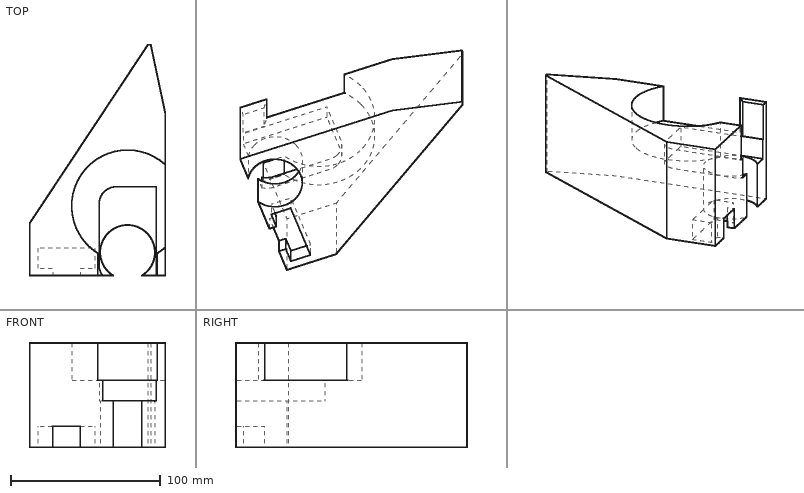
import cadquery as cq

body_width = 91.1
body_length = 155.0
body_height = 70.0
left_side_length = 35.2
right_side_length = 108.8
tip_left = 79.4
tip_right = 81.4

bore_x = 65.7
bore_y = 15.7
bore_radius = 18.3

recess_radius = 37.5
recess_y = 46.8
recess_floor = 45.1
recess_slot_width = 39.7

pocket_left = 46.7
pocket_right = 85.1
pocket_back = 59.7
pocket_depth = 14.0
pocket_corner_radius = 11.5
pocket_front_corner_y = 7.0

t_slot_x = 24.6
t_slot_height = 14.3
t_mouth_width = 18.5
t_lip_thickness = 5.0

pocket_floor = recess_floor - pocket_depth
pocket_width = pocket_right - pocket_left
pocket_front = pocket_front_corner_y - pocket_corner_radius
t_head_width = pocket_width
t_head_depth = pocket_depth


def box_cut(center_x, width, y_start, y_end, z_start, z_end):
    """Box centred on center_x, spanning the given Y and Z ranges."""
    return (
        cq.Workplane("XY")
        .box(width, y_end - y_start, z_end - z_start, centered=(True, False, False))
        .translate((center_x, y_start, z_start))
    )


def cylinder_cut(center_y, radius, z_start):
    """Cylinder on the bore's X position, from z_start to the top of the body."""
    return (
        cq.Workplane("XY", origin=(bore_x, center_y, z_start))
        .circle(radius)
        .extrude(body_height - z_start)
    )


def make_body():
    outline = [
        (0, 0),
        (body_width, 0),
        (body_width, right_side_length),
        (tip_right, body_length),
        (tip_left, body_length),
        (0, left_side_length),
    ]
    return cq.Workplane("XY").polyline(outline).close().extrude(body_height)


def make_recess():
    round_part = cylinder_cut(recess_y, recess_radius, recess_floor)
    slot = box_cut(bore_x, recess_slot_width, 0, recess_y, recess_floor, body_height)
    return round_part.union(slot)


def make_pocket():
    center_x = (pocket_left + pocket_right) / 2
    block = box_cut(center_x, pocket_width, pocket_front, pocket_back, pocket_floor, recess_floor)
    return block.edges("|Z and <X").fillet(pocket_corner_radius)


def make_t_slot():
    head_end = t_lip_thickness + t_head_depth
    mouth = box_cut(t_slot_x, t_mouth_width, 0, t_lip_thickness, 0, t_slot_height)
    head = box_cut(t_slot_x, t_head_width, t_lip_thickness, head_end, 0, t_slot_height)
    return mouth.union(head)


result = (
    make_body()
    .cut(cylinder_cut(bore_y, bore_radius, 0))
    .cut(make_recess())
    .cut(make_pocket())
    .cut(make_t_slot())
)